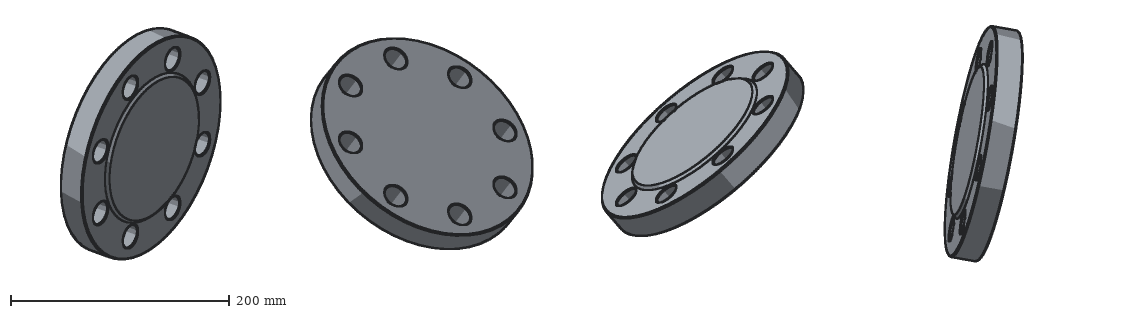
import cadquery as cq

outer_diameter = 215.0
overall_thickness = 28.0
raised_face_height = 3.0
disc_thickness = overall_thickness - raised_face_height
rim_chamfer = 1.0

raised_face_top_diameter = 138.0
raised_face_base_diameter = 144.0

bolt_count = 8
bolt_circle_diameter = 170.0
bolt_hole_diameter = 22.0
bolt_hole_chamfer = 0.9


def make_disc():
    disc = cq.Workplane("YZ").circle(outer_diameter / 2).extrude(disc_thickness)
    return disc.faces("<X or >X").edges().chamfer(rim_chamfer)


def make_raised_face():
    return (
        cq.Workplane("YZ", origin=(disc_thickness, 0, 0))
        .circle(raised_face_base_diameter / 2)
        .workplane(offset=raised_face_height)
        .circle(raised_face_top_diameter / 2)
        .loft()
    )


def drill_bolt_holes(body):
    half_step = 180 / bolt_count
    hole_positions = cq.Workplane("YZ").polarArray(
        bolt_circle_diameter / 2, half_step, 360, bolt_count
    )
    holes = hole_positions.circle(bolt_hole_diameter / 2).extrude(disc_thickness)
    mouth_diameter = bolt_hole_diameter + 2 * bolt_hole_chamfer
    for face_x, inward in ((0, 1), (disc_thickness, -1)):
        mouths = (
            cq.Workplane("YZ", origin=(face_x, 0, 0))
            .polarArray(bolt_circle_diameter / 2, half_step, 360, bolt_count)
            .circle(mouth_diameter / 2)
            .extrude(inward * bolt_hole_chamfer, taper=45)
        )
        holes = holes.union(mouths)
    return body.cut(holes)


result = drill_bolt_holes(make_disc().union(make_raised_face()))